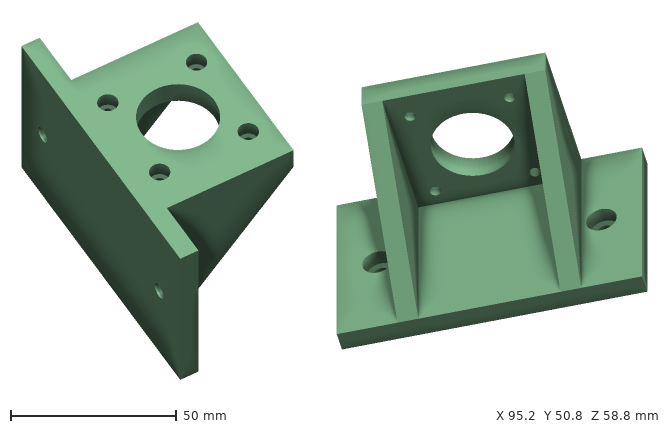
import cadquery as cq

plate_width = 95.25
plate_thickness = 6.4
height = 58.8
mount_hole_spacing = 69.8
mount_hole_diameter = 5.1
mount_counterbore_diameter = 9.5
mount_counterbore_depth = 4.9

shelf_width = 57.3
total_depth = 50.8
shelf_thickness = 8.0
gusset_thickness = 6.5

motor_center_y = 27.05
motor_bore_diameter = 25.4
screw_spacing = 31.05
screw_hole_diameter = 3.4
screw_counterbore_diameter = 6.5
screw_counterbore_depth = 5.05

shelf_underside = height - shelf_thickness
bay_width = shelf_width - 2 * gusset_thickness


def make_plate():
    return cq.Workplane("XY").box(
        plate_width, plate_thickness, height, centered=(True, False, False)
    )


def make_bracket():
    """Wedge under the shelf, hollowed between the gussets."""
    wedge = (
        cq.Workplane("YZ")
        .moveTo(plate_thickness, 0)
        .lineTo(plate_thickness, height)
        .lineTo(total_depth, height)
        .lineTo(total_depth, shelf_underside)
        .close()
        .extrude(shelf_width / 2, both=True)
    )
    bay = (
        cq.Workplane("XY")
        .box(bay_width, total_depth, shelf_underside, centered=(True, False, False))
        .translate((0, plate_thickness, 0))
    )
    return wedge.cut(bay)


def cut_motor_pattern(body):
    """Central bore and four screw holes counterbored from the top."""
    shelf_top = cq.Workplane("XY", origin=(0, motor_center_y, height))
    bore = shelf_top.circle(motor_bore_diameter / 2).extrude(-shelf_thickness)
    screws = shelf_top.rect(screw_spacing, screw_spacing, forConstruction=True).vertices()
    shanks = screws.circle(screw_hole_diameter / 2).extrude(-shelf_thickness)
    heads = screws.circle(screw_counterbore_diameter / 2).extrude(-screw_counterbore_depth)
    return body.cut(bore).cut(shanks).cut(heads)


def cut_mounting_holes(body):
    """Two plate holes counterbored from the gusset side."""
    plate_back = cq.Workplane("XZ", origin=(0, plate_thickness, height / 2))
    centers = plate_back.pushPoints([(side * mount_hole_spacing / 2, 0) for side in (-1, 1)])
    shanks = centers.circle(mount_hole_diameter / 2).extrude(plate_thickness)
    heads = centers.circle(mount_counterbore_diameter / 2).extrude(mount_counterbore_depth)
    return body.cut(shanks).cut(heads)


body = make_plate().union(make_bracket())
result = cut_mounting_holes(cut_motor_pattern(body))